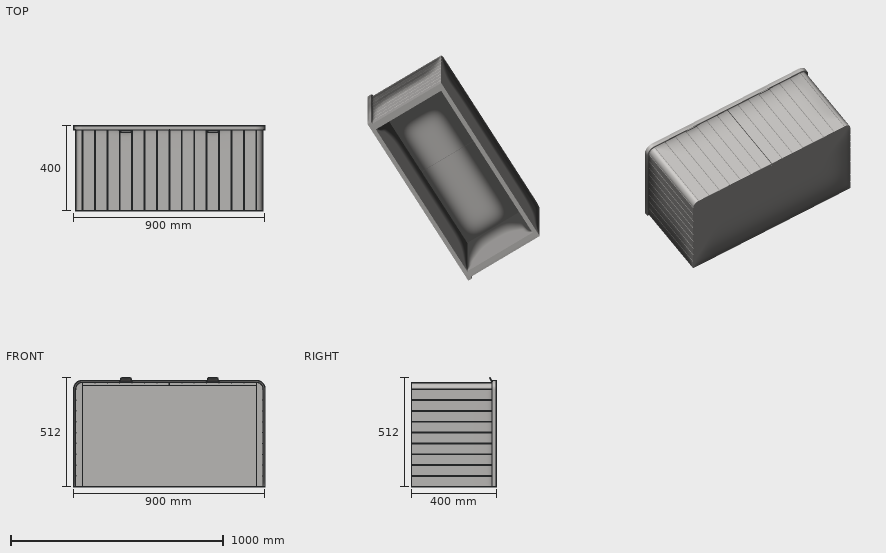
import cadquery as cq

box_width = 880
box_height = 490
total_depth = 400
front_y = -total_depth / 2
back_thickness = 20
body_rear_y = total_depth / 2 - back_thickness
body_depth = body_rear_y - front_y
corner_radius = 32

back_rim = 10
back_width = box_width + 2 * back_rim
back_height = box_height + back_rim
back_corner_radius = corner_radius + back_rim

side_thickness = corner_radius
lid_thickness = 15
front_thickness = 20
inner_width = box_width - 2 * side_thickness

groove_half_width = 2
groove_depth = 2
lid_slats = 7
side_slats = 9
lid_gap = 3
lid_pitch = inner_width / 2 / lid_slats
side_pitch = (box_height - corner_radius) / side_slats

handle_half_base = 31.5
handle_half_shoulder = 25
handle_shoulder_height = 13
handle_height = 22
handle_corner_radius = 6
handle_lean = 12
handle_thickness = 2.5
handle_foot_height = 2
handle_tip_drop = 1.5
handle_x = (lid_slats // 2 + 0.5) * lid_pitch

sides = (-1, 1)


def make_v_cutter(x, z, reach_x, reach_z):
    """Full-depth bar of diamond section, centred on a surface so that its inner half cuts a V groove."""
    section = [(x - reach_x, z), (x, z - reach_z), (x + reach_x, z), (x, z + reach_z)]
    return cq.Workplane("XZ", origin=(0, body_rear_y, 0)).polyline(section).close().extrude(body_depth)


def make_lid_groove(x):
    return make_v_cutter(x, box_height, groove_half_width, groove_depth)


def make_side_groove(side, z):
    return make_v_cutter(side * box_width / 2, z, groove_depth, groove_half_width)


def make_back():
    plate = cq.Workplane("XY").box(back_width, back_thickness, back_height, centered=(True, False, False))
    plate = plate.edges("|Y and >Z").fillet(back_corner_radius)
    return plate.translate((0, body_rear_y, 0))


def make_front():
    """Flush front panel, between the side walls and below the lids."""
    panel_height = box_height - lid_thickness
    panel = cq.Workplane("XY").box(inner_width, front_thickness, panel_height, centered=(True, False, False))
    return panel.translate((0, front_y, 0))


def make_side(side):
    """Grooved side wall whose top is a quarter round across its whole thickness."""
    inner_x = side * inner_width / 2
    outer_x = side * box_width / 2
    wall = (
        cq.Workplane("XZ", origin=(0, body_rear_y, 0))
        .moveTo(inner_x, 0)
        .lineTo(outer_x, 0)
        .lineTo(outer_x, box_height - corner_radius)
        .radiusArc((inner_x, box_height), -side * corner_radius)
        .close()
        .extrude(body_depth)
    )
    for i in range(1, side_slats + 1):
        wall = wall.cut(make_side_groove(side, i * side_pitch))
    return wall.cut(make_lid_groove(inner_x))


def make_lid(side):
    """Half of the grooved top, ending short of the middle by half the gap between the two lids."""
    length = (inner_width - lid_gap) / 2
    lid = cq.Workplane("XY").box(length, body_depth, lid_thickness, centered=(True, False, False))
    lid = lid.translate((side * (lid_gap + length) / 2, front_y, box_height - lid_thickness))
    for i in range(lid_slats + 1):
        lid = lid.cut(make_lid_groove(side * i * lid_pitch))
    return lid


def make_handle(side):
    """Tab where the front outline and the leaning sheet profile intersect."""
    outline = cq.Workplane("XZ").polyline([
        (-handle_half_base, 0),
        (handle_half_base, 0),
        (handle_half_shoulder, handle_shoulder_height),
        (handle_half_shoulder, handle_height),
        (-handle_half_shoulder, handle_height),
        (-handle_half_shoulder, handle_shoulder_height),
    ]).close().extrude(handle_lean)
    outline = outline.edges("|Y and >Z").fillet(handle_corner_radius)
    sheet = cq.Workplane("YZ").polyline([
        (0, 0),
        (-handle_thickness, 0),
        (-handle_thickness, handle_foot_height),
        (-handle_lean, handle_height - handle_tip_drop),
        (handle_thickness - handle_lean, handle_height),
        (0, handle_foot_height),
    ]).close().extrude(handle_half_base, both=True)
    return outline.intersect(sheet).translate((side * handle_x, body_rear_y, box_height))


back = make_back()
front = make_front()
side_walls = [make_side(side) for side in sides]
lids = [make_lid(side) for side in sides]
handles = [make_handle(side) for side in sides]

result = cq.Compound.makeCompound([
    back.val(),
    front.val(),
    *[wall.val() for wall in side_walls],
    *[lid.val() for lid in lids],
    *[handle.val() for handle in handles],
])